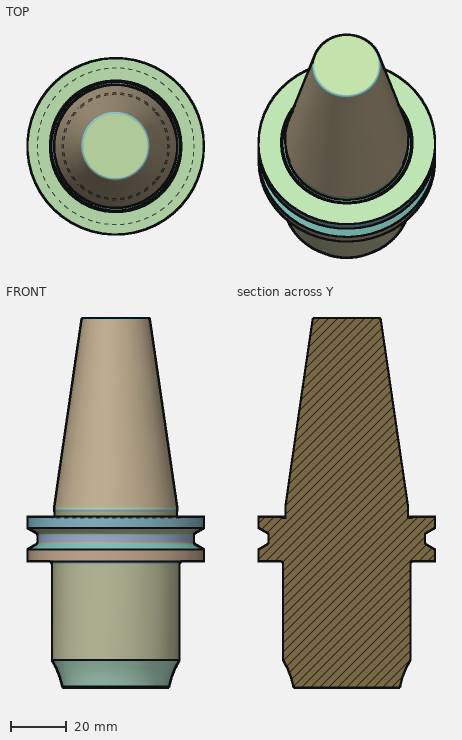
import cadquery as cq
import math

TOTAL_HEIGHT = 132.9

NOSE_RADIUS = 19.3
NOSE_CHAMFER = 0.5
NOSE_TOP = 10.0
NOSE_CURVE_SAG = 0.4
BODY_RADIUS = 23.0
BODY_FILLET = 1.0

FLANGE_RADIUS = 31.8
FLANGE_BOTTOM = 45.5
FLANGE_TOP = 61.5
GROOVE_CENTER = 53.5
GROOVE_FLOOR_HALF_WIDTH = 1.2
GROOVE_FLOOR_RADIUS = 28.2
GROOVE_FILLET = 0.9
GROOVE_WALL_ANGLE = math.radians(30)

RELIEF_RADIUS = 23.7
RELIEF_DEPTH = 0.5

NECK_RADIUS = 22.0
NECK_TOP = 63.1
GAUGE_RADIUS = 22.2
GAUGE_BOTTOM = 63.9
GAUGE_TOP = 64.7
TAPER_RATIO = 7 / 24
TIP_ROUND = 0.8


def nose_and_body(profile):
    """Trace the chamfered nose, its hollow flare and the body up to the flange."""
    middle_radius = (NOSE_RADIUS + BODY_RADIUS) / 2 - NOSE_CURVE_SAG
    middle_height = (NOSE_CHAMFER + NOSE_TOP) / 2 + NOSE_CURVE_SAG / 2
    fillet_offset = BODY_FILLET * (1 - math.sqrt(0.5))
    return (
        profile.lineTo(NOSE_RADIUS - NOSE_CHAMFER, 0)
        .lineTo(NOSE_RADIUS, NOSE_CHAMFER)
        .threePointArc((middle_radius, middle_height), (BODY_RADIUS, NOSE_TOP))
        .lineTo(BODY_RADIUS, FLANGE_BOTTOM - BODY_FILLET)
        .threePointArc(
            (BODY_RADIUS + fillet_offset, FLANGE_BOTTOM - fillet_offset),
            (BODY_RADIUS + BODY_FILLET, FLANGE_BOTTOM),
        )
    )


def groove_point(turn, side):
    """Point on a groove-floor fillet, turned from the floor towards the wall."""
    radius = GROOVE_FLOOR_RADIUS + GROOVE_FILLET * (1 - math.cos(turn))
    half_width = GROOVE_FLOOR_HALF_WIDTH + GROOVE_FILLET * math.sin(turn)
    return radius, GROOVE_CENTER + side * half_width


def flange(profile):
    """Trace the flange rim, the V-groove and the relief in the upper face."""
    full_turn = math.pi / 2 - GROOVE_WALL_ANGLE
    wall_start_radius, wall_start_height = groove_point(full_turn, 1)
    wall_rise = (FLANGE_RADIUS - wall_start_radius) * math.tan(GROOVE_WALL_ANGLE)
    mouth_half_width = wall_start_height - GROOVE_CENTER + wall_rise
    return (
        profile.lineTo(FLANGE_RADIUS, FLANGE_BOTTOM)
        .lineTo(FLANGE_RADIUS, GROOVE_CENTER - mouth_half_width)
        .lineTo(*groove_point(full_turn, -1))
        .threePointArc(groove_point(full_turn / 2, -1), groove_point(0, -1))
        .lineTo(*groove_point(0, 1))
        .threePointArc(groove_point(full_turn / 2, 1), groove_point(full_turn, 1))
        .lineTo(FLANGE_RADIUS, GROOVE_CENTER + mouth_half_width)
        .lineTo(FLANGE_RADIUS, FLANGE_TOP)
        .lineTo(RELIEF_RADIUS, FLANGE_TOP)
        .lineTo(RELIEF_RADIUS - RELIEF_DEPTH, FLANGE_TOP - RELIEF_DEPTH)
        .lineTo(NECK_RADIUS, FLANGE_TOP - RELIEF_DEPTH)
    )


def neck_and_taper(profile):
    """Trace the neck, the short gauge band and the taper up to its rounded tip."""
    round_bottom = TOTAL_HEIGHT - TIP_ROUND
    tip_radius = GAUGE_RADIUS - (round_bottom - GAUGE_TOP) * TAPER_RATIO / 2
    round_offset = TIP_ROUND * (1 - math.sqrt(0.5))
    return (
        profile.lineTo(NECK_RADIUS, NECK_TOP)
        .lineTo(GAUGE_RADIUS, GAUGE_BOTTOM)
        .lineTo(GAUGE_RADIUS, GAUGE_TOP)
        .lineTo(tip_radius, round_bottom)
        .threePointArc(
            (tip_radius - round_offset, TOTAL_HEIGHT - round_offset),
            (tip_radius - TIP_ROUND, TOTAL_HEIGHT),
        )
        .lineTo(0, TOTAL_HEIGHT)
    )


half_profile = cq.Workplane("XZ").moveTo(0, 0)
half_profile = nose_and_body(half_profile)
half_profile = flange(half_profile)
half_profile = neck_and_taper(half_profile)

result = half_profile.close().revolve(360, (0, 0), (0, 1))